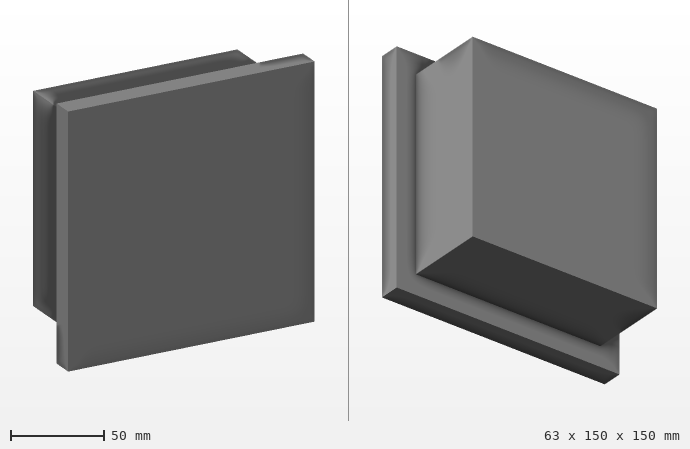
import cadquery as cq

overall_depth = 63.0
flange_side = 150.0
flange_thickness = 13.0
housing_side = 124.2

housing_depth = overall_depth - flange_thickness


def square_block(side, depth, start_x):
    """Block with a square section centred on the X axis, reaching from start_x toward +X."""
    return cq.Workplane("YZ").workplane(offset=start_x).rect(side, side).extrude(depth)


housing = square_block(housing_side, housing_depth, -housing_depth)

flange = square_block(flange_side, flange_thickness, 0)

result = cq.Compound.makeCompound([housing.val(), flange.val()])